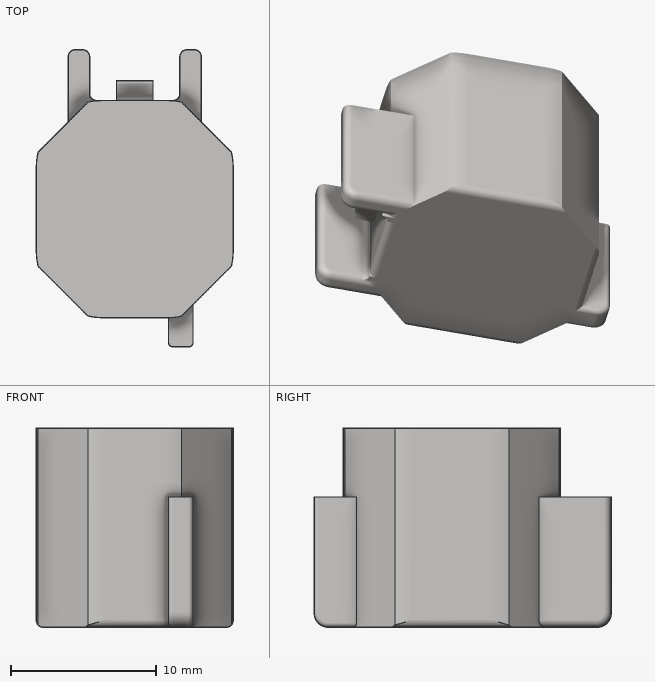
import cadquery as cq
import math

body_width = 13.6
body_length = 15.0
body_height = 13.75
body_corner_radius = 4.65
corner_flat_sum = 10.6
body_bottom_fillet = 0.5

rib_height = 9.0
rib_nose_radius = 1.0
back_rib_end = 11.0
back_rib_thickness = 1.5
back_rib_offset = 3.85
back_rib_edge_fillet = 0.5
back_rib_root_fillet = 0.45
front_rib_end = 9.5
front_rib_thickness = 1.7
front_rib_offset = 3.175
front_rib_edge_fillet = 0.3

catch_width = 2.55
catch_reach = 1.37
catch_bottom = 4.0
catch_root_height = 1.5
catch_slope = 8.5
catch_round = 0.2

back_face = body_length / 2
overlap = 2.0


def make_body():
    block = cq.Workplane("XY").box(body_width, body_length, body_height, centered=(True, True, False))
    block = block.faces("<Z").edges().fillet(body_bottom_fillet)
    rounded_column = (
        cq.Workplane("XY")
        .box(body_width, body_length, body_height, centered=(True, True, False))
        .edges("|Z")
        .fillet(body_corner_radius)
    )
    corner_limit = (
        cq.Workplane("XY")
        .rect(corner_flat_sum * math.sqrt(2), corner_flat_sum * math.sqrt(2))
        .extrude(body_height)
        .rotate((0, 0, 0), (0, 0, 1), 45)
    )
    return block.intersect(rounded_column).intersect(corner_limit)


def make_rib(center_x, thickness, end_y, edge_fillet):
    """Upright rib from the XZ plane out to end_y, with its nose and outer edges rounded."""
    outer_side = ">Y" if end_y > 0 else "<Y"
    rib = (
        cq.Workplane("XY")
        .box(thickness, abs(end_y), rib_height, centered=(True, True, False))
        .translate((center_x, end_y / 2, 0))
    )
    rib = rib.faces(outer_side).edges("<Z").fillet(rib_nose_radius)
    return rib.faces(outer_side).edges("|Z").fillet(edge_fillet)


def make_root_fillet(side):
    """Concave round between the inner face of a back rib and the back of the body."""
    r = back_rib_root_fillet
    inner_x = back_rib_offset - back_rib_thickness / 2
    return (
        cq.Workplane("XY")
        .moveTo(side * inner_x, back_face + r)
        .radiusArc((side * (inner_x - r), back_face), side * r)
        .lineTo(side * (inner_x - r), back_face - r)
        .lineTo(side * inner_x, back_face - r)
        .close()
        .extrude(rib_height)
    )


def make_catch():
    tip_y = back_face + catch_reach
    root_z = catch_bottom + catch_root_height
    tip_z = root_z + catch_reach * math.tan(math.radians(catch_slope))
    wall_top_z = tip_z + overlap
    catch = (
        cq.Workplane("YZ")
        .polyline([
            (back_face - overlap, catch_bottom),
            (tip_y, catch_bottom),
            (tip_y, tip_z),
            (back_face, root_z),
            (back_face, wall_top_z),
            (back_face - overlap, wall_top_z),
        ])
        .close()
        .extrude(catch_width / 2, both=True)
    )
    tip_edge = cq.selectors.NearestToPointSelector((0, tip_y, tip_z))
    root_edge = cq.selectors.NearestToPointSelector((0, back_face, root_z))
    return catch.edges("|X").edges(tip_edge).fillet(catch_round).edges("|X").edges(root_edge).fillet(catch_round)


result = make_body()
for side in (-1, 1):
    back_rib = make_rib(side * back_rib_offset, back_rib_thickness, back_rib_end, back_rib_edge_fillet)
    result = result.union(back_rib)
    result = result.union(make_root_fillet(side))
front_rib = make_rib(front_rib_offset, front_rib_thickness, -front_rib_end, front_rib_edge_fillet)
result = result.union(front_rib)
result = result.union(make_catch())